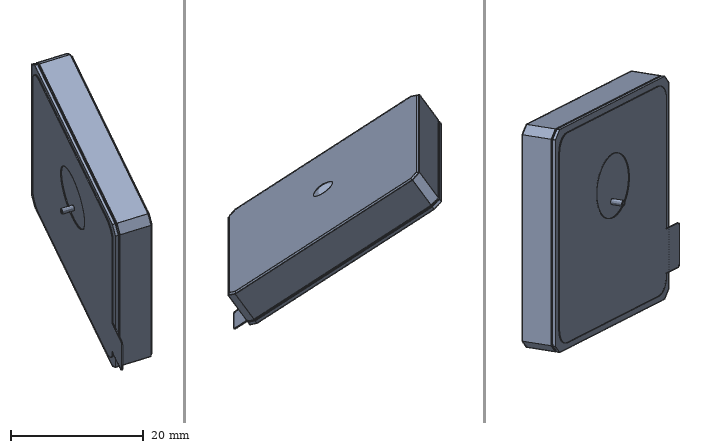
import cadquery as cq
import math


total_width = 38.0
side = 35.0
corner_chamfer = 1.3
front_film_inset = 0.3
back_film_inset = 0.15
back_film_taper = 45
plate_thickness = 0.5
film_thickness = 0.247
ceramic_thickness = 5.0
liner_thickness = 0.17

dome_radius = 1.75
dome_height = 0.5
pin_radius = 0.45
pin_length = 2.0
pin_tip_chamfer = 0.1
feed_z = 2.0

liner_side = 33.0
liner_corner_radius = 2.5
opening_radius = 5.0
opening_z = 4.52
tab_width = 7.0
tab_z = -10.0
tab_corner_radius = 0.5

front_film_start = plate_thickness
ceramic_start = front_film_start + film_thickness
back_film_start = ceramic_start + ceramic_thickness
back_face = back_film_start + film_thickness

tab_end = total_width - side / 2


def front_plane(y):
    """Sketch plane at depth y: local x is X, local y is Z, extrusion goes towards -Y."""
    return cq.Workplane("XZ", origin=(0, y, 0))


def block_layer(inset, start, thickness, taper=0):
    """Chamfered square set in from the block outline, reaching from start towards +Y."""
    half = side / 2 - inset
    leg = corner_chamfer - inset * (2 - math.sqrt(2))
    flat = half - leg
    outline = [
        (half, -flat), (half, flat), (flat, half), (-flat, half),
        (-half, flat), (-half, -flat), (-flat, -half), (flat, -half),
    ]
    return front_plane(start).polyline(outline).close().extrude(-thickness, taper=taper)


def make_dome():
    """Spherical cap of solder on the back film, over the end of the pin."""
    profile = (
        cq.Workplane("XY", origin=(0, back_face, feed_z))
        .lineTo(dome_radius, 0)
        .threePointArc(dome_arc_middle(), (0, dome_height))
        .close()
    )
    return profile.revolve(360, (0, 0, 0), (0, 1, 0))


def dome_arc_middle():
    """Point of the dome's arc halfway out from its axis."""
    sphere_radius = (dome_radius**2 + dome_height**2) / (2 * dome_height)
    middle_x = dome_radius / 2
    return middle_x, (sphere_radius**2 - middle_x**2) ** 0.5 - sphere_radius + dome_height


def make_antenna():
    """Plate, film, ceramic, film, dome and pin as one solid."""
    plate = block_layer(0, 0, plate_thickness)
    front_film = block_layer(front_film_inset, front_film_start, film_thickness)
    ceramic = block_layer(0, ceramic_start, ceramic_thickness)
    back_film = block_layer(back_film_inset, back_film_start, film_thickness, back_film_taper)
    pin = front_plane(0).center(0, feed_z).circle(pin_radius).extrude(pin_length)
    pin = pin.faces("<Y").chamfer(pin_tip_chamfer)
    return plate.union(front_film).union(ceramic).union(back_film).union(make_dome()).union(pin)


def make_liner():
    """Rounded square sheet with a pull tab on the +X side and an opening around the pin."""
    sheet = (
        front_plane(0)
        .rect(liner_side, liner_side)
        .extrude(liner_thickness)
        .edges("|Y")
        .fillet(liner_corner_radius)
    )
    tab = (
        front_plane(0)
        .center(tab_end / 2, tab_z)
        .rect(tab_end, tab_width)
        .extrude(liner_thickness)
        .edges("|Y and >X")
        .fillet(tab_corner_radius)
    )
    opening = front_plane(0).center(0, opening_z).circle(opening_radius).extrude(liner_thickness)
    return sheet.union(tab).cut(opening)


antenna = make_antenna()
liner = make_liner()

result = cq.Compound.makeCompound([antenna.val(), liner.val()])